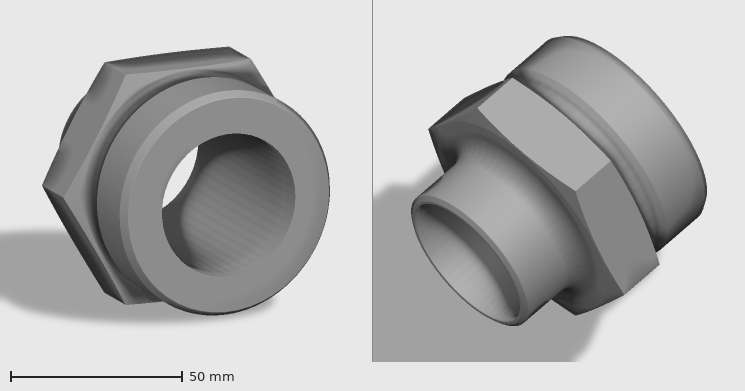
import cadquery as cq
import math

length = 67.0
corner_diameter = 80.7
across_flats = 70.0
hex_start = 23.0
hex_end = 40.85

stub_radius = 48.3 / 2
stub_bevel_length = 1.05
stub_bevel_depth = 1.5
root_fillet = 6.05

hex_face_radius = 34.5
hex_chamfer_angle = 15.0

thread_radius = 68.0 / 2
relief_radius = 64.9 / 2
relief_fillet = 1.5
relief_taper_angle = 30.0
thread_start = 48.75
thread_chamfer_length = 2.7
thread_chamfer_depth = 1.5

bore_radius = 43.1 / 2

edge_round = 0.3


def revolve_about_x(profile):
    return profile.close().revolve(360, (0, 0, 0), (1, 0, 0))


def round_outer_cone_edges(body):
    """Round the largest-diameter edges of the conical faces."""
    largest_radius = cq.selectors.RadiusNthSelector(-1)
    return body.faces("%CONE").edges(largest_radius).fillet(edge_round)


def make_stub():
    """Bevelled stub that flares into the hexagon through a concave fillet."""
    fillet_start = hex_start - root_fillet
    mid_offset = root_fillet * math.sqrt(0.5)
    center_radius = stub_radius + root_fillet
    profile = (
        cq.Workplane("XY")
        .lineTo(0, stub_radius - stub_bevel_depth)
        .lineTo(stub_bevel_length, stub_radius)
        .lineTo(fillet_start, stub_radius)
        .threePointArc(
            (fillet_start + mid_offset, center_radius - mid_offset),
            (hex_start, center_radius),
        )
        .lineTo(hex_start, 0)
    )
    return round_outer_cone_edges(revolve_about_x(profile))


def make_hexagon():
    """Hexagon with slightly rounded corners on the Y axis, both faces chamfered by a cone."""
    sharp_corner_diameter = across_flats / math.cos(math.radians(30))
    prism = (
        cq.Workplane("YZ", origin=(hex_start, 0, 0))
        .polygon(6, sharp_corner_diameter)
        .extrude(hex_end - hex_start)
    )
    corner_radius = corner_diameter / 2
    chamfer_length = (corner_radius - hex_face_radius) * math.tan(math.radians(hex_chamfer_angle))
    envelope = revolve_about_x(
        cq.Workplane("XY")
        .moveTo(hex_start, 0)
        .lineTo(hex_start, hex_face_radius)
        .lineTo(hex_start + chamfer_length, corner_radius)
        .lineTo(hex_end - chamfer_length, corner_radius)
        .lineTo(hex_end, hex_face_radius)
        .lineTo(hex_end, 0)
    )
    return prism.intersect(envelope)


def make_threaded_end():
    """Relief groove filleted to the hexagon, then the plain thread diameter with rounded edges."""
    mid_offset = relief_fillet * math.sqrt(0.5)
    center_x = hex_end + relief_fillet
    center_radius = relief_radius + relief_fillet

    taper = math.radians(relief_taper_angle)
    bend_rise = relief_fillet * (1 - math.cos(taper))
    taper_start = thread_start - (thread_radius - relief_radius - bend_rise) / math.tan(taper)
    bend_start = taper_start - relief_fillet * math.sin(taper)
    bend_middle = (
        bend_start + relief_fillet * math.sin(taper / 2),
        center_radius - relief_fillet * math.cos(taper / 2),
    )
    profile = (
        cq.Workplane("XY")
        .moveTo(hex_end, 0)
        .lineTo(hex_end, center_radius)
        .threePointArc(
            (center_x - mid_offset, center_radius - mid_offset),
            (center_x, relief_radius),
        )
        .lineTo(bend_start, relief_radius)
        .threePointArc(bend_middle, (taper_start, relief_radius + bend_rise))
        .lineTo(thread_start, thread_radius)
        .lineTo(length - thread_chamfer_length, thread_radius)
        .lineTo(length, thread_radius - thread_chamfer_depth)
        .lineTo(length, 0)
    )
    body = round_outer_cone_edges(revolve_about_x(profile))
    return body.faces(">X").edges().fillet(edge_round)


def bore_through(body):
    """Straight bore along X with its stub-end mouth rounded."""
    bore = cq.Workplane("YZ").circle(bore_radius).extrude(length)
    mouth_edge = cq.selectors.RadiusNthSelector(0)
    return body.cut(bore).faces("<X").edges(mouth_edge).fillet(edge_round)


outer_body = make_stub().union(make_hexagon()).union(make_threaded_end())
result = bore_through(outer_body)